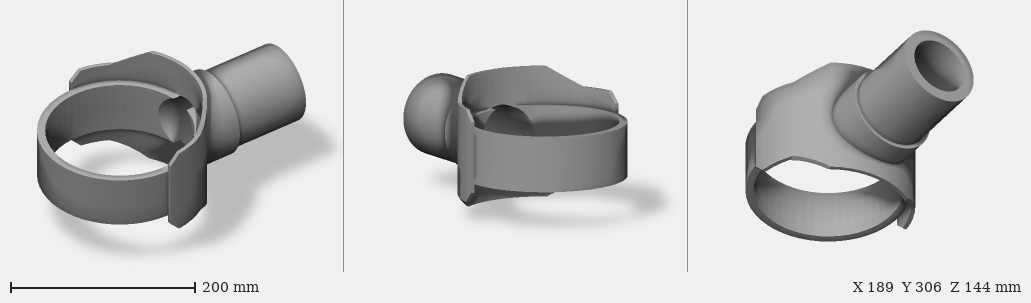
import cadquery as cq

ring_outer_radius = 90.0
ring_inner_radius = 81.0
ring_height = 60.0

saddle_outer_radius = 94.5
saddle_height = 144.0
saddle_wing_height = 102.2
saddle_crown_half_width = 50.2
saddle_wing_start = 79.5
wing_chamfer = 12.0

overall_length = 306.0
pipe_end = overall_length - ring_outer_radius
pipe_radius = 45.0
socket_radius = 49.5
socket_end = 124.5
bore_radius = 32.5


def cylinder_along_y(radius, length):
    """Solid cylinder from the ring axis out to the given Y."""
    return cq.Workplane("XZ").circle(radius).extrude(-length)


def cylinder_along_z(radius, height):
    """Solid cylinder on the ring axis, centred on Z = 0."""
    return cq.Workplane("XY").cylinder(height, radius)


def make_ring():
    bore = cylinder_along_z(ring_inner_radius, ring_height)
    return cylinder_along_z(ring_outer_radius, ring_height).cut(bore)


def make_saddle_body():
    """Half cylinder trimmed to a tall crown with lower, chamfered wings."""
    crown_z = saddle_height / 2
    wing_z = saddle_wing_height / 2
    right_edge = [
        (saddle_crown_half_width, crown_z),
        (saddle_wing_start, wing_z),
        (saddle_outer_radius, wing_z),
    ]
    lower_right = [(x, -z) for x, z in reversed(right_edge)]
    left_edge = [(-x, -z) for x, z in right_edge]
    upper_left = [(-x, z) for x, z in reversed(right_edge)]
    outline = right_edge + lower_right + left_edge + upper_left
    front_profile = cq.Workplane("XZ").polyline(outline).close().extrude(-saddle_outer_radius)

    chamfer_top = wing_z - wing_chamfer
    chamfer_end = wing_chamfer + crown_z - wing_z
    side_outline = [
        (0, -chamfer_top),
        (chamfer_end, -crown_z),
        (saddle_outer_radius, -crown_z),
        (saddle_outer_radius, crown_z),
        (chamfer_end, crown_z),
        (0, chamfer_top),
    ]
    side_profile = cq.Workplane("YZ").polyline(side_outline).close()
    side_profile = side_profile.extrude(saddle_outer_radius, both=True)

    shell_blank = cylinder_along_z(saddle_outer_radius, saddle_height)
    return shell_blank.intersect(front_profile).intersect(side_profile)


def make_branch():
    pipe = cylinder_along_y(pipe_radius, pipe_end)
    return pipe.union(cylinder_along_y(socket_radius, socket_end))


ring_seat = cylinder_along_z(ring_outer_radius, saddle_height)
result = make_saddle_body().union(make_branch()).cut(ring_seat).union(make_ring())
result = result.cut(cylinder_along_y(bore_radius, pipe_end))